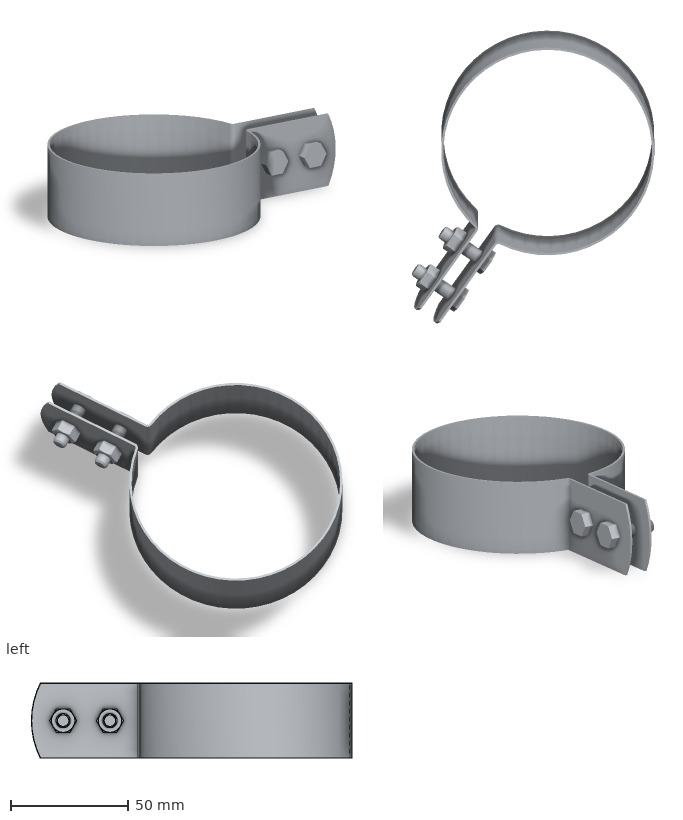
import cadquery as cq
import math

length = 136.7
ring_diameter = 90.9
band_height = 32.0
band_thickness = 1.0
ear_gap = 9.0
bend_inner_radius = 1.1
ear_tip_sagitta = 3.8

bolt_diameter = 6.0
bolt_tip_diameter = 4.9
bolt_tip_length = 0.8
bolt_overhang = 4.1
hex_sides = 6
hex_across_flats = 10.0
head_thickness = 4.1
nut_thickness = 4.9
nut_chamfer_angle = 30.0
bolt_count = 2
bolt_spacing = 20.0
first_bolt_from_tip = 13.5

ring_radius = ring_diameter / 2
ring_inner_radius = ring_radius - band_thickness
ear_tip_y = length - ring_radius
ear_inner_x = ear_gap / 2
ear_outer_x = ear_inner_x + band_thickness
bend_outer_radius = bend_inner_radius + band_thickness
nut_end_x = -ear_outer_x - nut_thickness
bolt_end_x = nut_end_x - bolt_overhang
hex_across_corners = hex_across_flats / math.cos(math.pi / hex_sides)
bolt_positions_y = [ear_tip_y - first_bolt_from_tip - i * bolt_spacing for i in range(bolt_count)]


def cylinder_x(diameter, x_start, x_end, y):
    """Cylinder along X, centred on the band's mid-height."""
    return (
        cq.Workplane("YZ", origin=(x_start, y, 0))
        .circle(diameter / 2)
        .extrude(x_end - x_start)
    )


def hex_prism_x(x_start, x_end, y):
    """Hexagonal prism along X with two corners pointing along Y."""
    return (
        cq.Workplane("YZ", origin=(x_start, y, 0))
        .polygon(hex_sides, hex_across_corners)
        .extrude(x_end - x_start)
    )


def make_band_strip():
    """Constant-thickness strip: ring, two tangent bends and two straight ears."""
    bend_x = ear_outer_x + bend_inner_radius
    bend_distance = ring_radius + bend_inner_radius
    bend_y = math.sqrt(bend_distance**2 - bend_x**2)
    ring_end_angle = math.atan2(bend_y, bend_x)
    bend_mid_angle = math.pi + ring_end_angle / 2

    def ring_end(radius):
        return radius * math.cos(ring_end_angle), radius * math.sin(ring_end_angle)

    def bend_middle(radius):
        return (
            bend_x + radius * math.cos(bend_mid_angle),
            bend_y + radius * math.sin(bend_mid_angle),
        )

    def mirrored(point):
        return -point[0], point[1]

    inner_end = ring_end(ring_inner_radius)
    outer_end = ring_end(ring_radius)
    inner_bend = bend_middle(bend_outer_radius)
    outer_bend = bend_middle(bend_inner_radius)
    return (
        cq.Workplane("XY", origin=(0, 0, -band_height / 2))
        .moveTo(ear_inner_x, ear_tip_y)
        .lineTo(ear_inner_x, bend_y)
        .threePointArc(inner_bend, inner_end)
        .threePointArc((0, -ring_inner_radius), mirrored(inner_end))
        .threePointArc(mirrored(inner_bend), (-ear_inner_x, bend_y))
        .lineTo(-ear_inner_x, ear_tip_y)
        .lineTo(-ear_outer_x, ear_tip_y)
        .lineTo(-ear_outer_x, bend_y)
        .threePointArc(mirrored(outer_bend), mirrored(outer_end))
        .threePointArc((0, -ring_radius), outer_end)
        .threePointArc(outer_bend, (ear_outer_x, bend_y))
        .lineTo(ear_outer_x, ear_tip_y)
        .close()
        .extrude(band_height)
    )


def make_side_envelope():
    """Side outline of the band, with the ear tips rounded to a shallow arc."""
    half_height = band_height / 2
    corner_y = ear_tip_y - ear_tip_sagitta
    return (
        cq.Workplane("YZ")
        .moveTo(-ring_radius, -half_height)
        .lineTo(corner_y, -half_height)
        .threePointArc((ear_tip_y, 0), (corner_y, half_height))
        .lineTo(-ring_radius, half_height)
        .close()
        .extrude(ring_radius, both=True)
    )


def make_band():
    band = make_band_strip().intersect(make_side_envelope())
    for y in bolt_positions_y:
        band = band.cut(cylinder_x(bolt_diameter, -ear_outer_x, ear_outer_x, y))
    return band


def make_bolt(y):
    """Hex-head bolt, head on the +X ear and chamfered tip towards -X."""
    tip_chamfer = (bolt_diameter - bolt_tip_diameter) / 2
    shank = (
        cylinder_x(bolt_diameter, bolt_end_x, ear_outer_x, y)
        .faces("<X")
        .edges()
        .chamfer(bolt_tip_length, tip_chamfer)
    )
    head = hex_prism_x(ear_outer_x, ear_outer_x + head_thickness, y)
    return shank.union(head)


def make_nut(y):
    """Hex nut against the -X ear, its outer corners turned off by a cone."""
    face_radius = hex_across_flats / 2
    base_radius = face_radius + nut_thickness / math.tan(math.radians(nut_chamfer_angle))
    corner_cone = (
        cq.Workplane("XY")
        .moveTo(nut_end_x, y)
        .lineTo(nut_end_x, y + face_radius)
        .lineTo(-ear_outer_x, y + base_radius)
        .lineTo(-ear_outer_x, y)
        .close()
        .revolve(360, (nut_end_x, y, 0), (-ear_outer_x, y, 0))
    )
    blank = hex_prism_x(nut_end_x, -ear_outer_x, y).intersect(corner_cone)
    return blank.cut(cylinder_x(bolt_diameter, nut_end_x, -ear_outer_x, y))


band = make_band()
bolts = [make_bolt(y) for y in bolt_positions_y]
nuts = [make_nut(y) for y in bolt_positions_y]

result = cq.Compound.makeCompound(
    [band.val()] + [bolt.val() for bolt in bolts] + [nut.val() for nut in nuts]
)